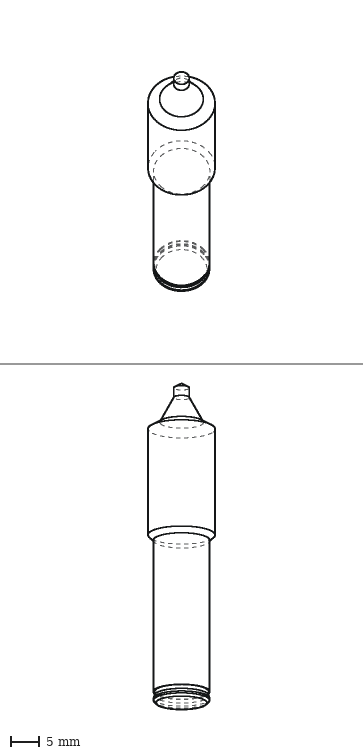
import cadquery as cq
import math

total_length = 59.0
body_diameter = 12.0
shank_diameter = 10.05
tip_diameter = 2.8

shank_length = 30.05
body_shoulder_height = 50.6
tip_base_height = 56.4

point_slope = math.radians(30)
shoulder_slope = math.radians(30)

shoulder_inner_radius = 3.9

groove_depth = 0.2
groove_top = 2.05
groove_bottom = 1.35
groove_taper_end = 0.8
end_chamfer = 0.5

body_radius = body_diameter / 2
shank_radius = shank_diameter / 2
tip_radius = tip_diameter / 2
groove_radius = shank_radius - groove_depth

body_bottom_height = shank_length + body_radius - shank_radius
nose_base_height = body_shoulder_height + (body_radius - shoulder_inner_radius) * math.tan(shoulder_slope)
tip_top_height = total_length - tip_radius * math.tan(point_slope)

half_section = [
    (0, 0),
    (shank_radius - end_chamfer, 0),
    (shank_radius, end_chamfer),
    (shank_radius, groove_taper_end),
    (groove_radius, groove_bottom),
    (groove_radius, groove_top),
    (shank_radius, groove_top),
    (shank_radius, shank_length),
    (body_radius, body_bottom_height),
    (body_radius, body_shoulder_height),
    (shoulder_inner_radius, nose_base_height),
    (tip_radius, tip_base_height),
    (tip_radius, tip_top_height),
    (0, total_length),
]

result = (
    cq.Workplane("XZ")
    .polyline(half_section)
    .close()
    .revolve(360, (0, 0, 0), (0, 1, 0))
)